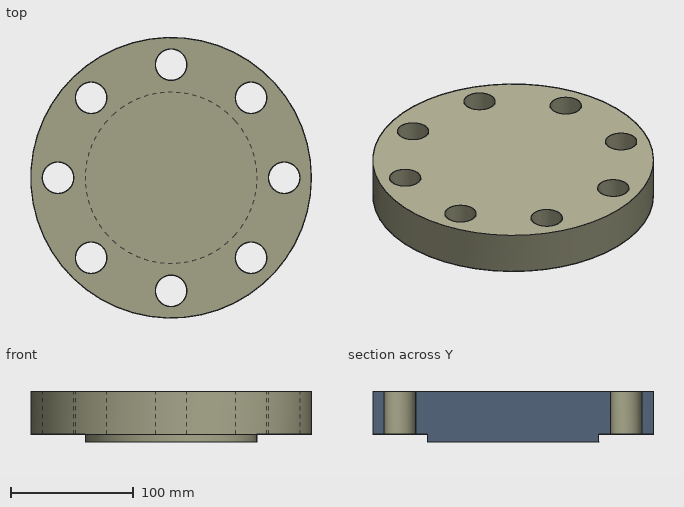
import cadquery as cq

flange_diameter = 228.6
flange_thickness = 35.0
raised_face_diameter = 139.7
raised_face_height = 6.4
bolt_circle_diameter = 184.15
bolt_hole_diameter = 25.4
bolt_hole_count = 8


def flange_disc():
    """Main disc, with its underside on the XY plane."""
    return cq.Workplane("XY").circle(flange_diameter / 2).extrude(flange_thickness)


def raised_face():
    """Smaller sealing disc hanging below the main disc."""
    return cq.Workplane("XY").circle(raised_face_diameter / 2).extrude(-raised_face_height)


def bolt_holes():
    """Cutters for the through holes, the first one on the +X axis."""
    return (
        cq.Workplane("XY")
        .polarArray(bolt_circle_diameter / 2, 0, 360, bolt_hole_count)
        .circle(bolt_hole_diameter / 2)
        .extrude(flange_thickness)
    )


result = flange_disc().union(raised_face()).cut(bolt_holes())